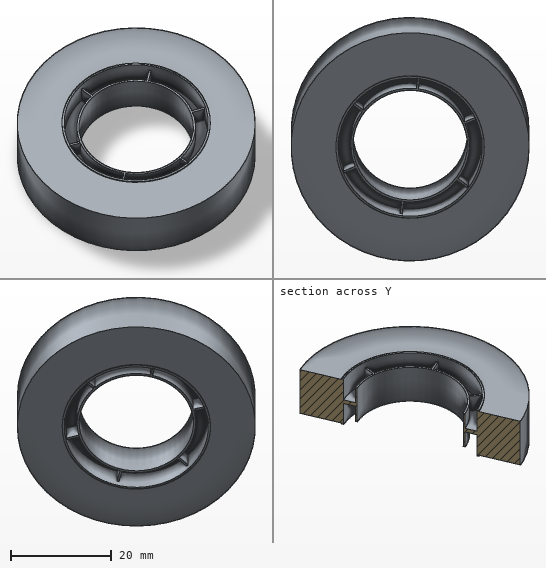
import cadquery as cq

tire_diameter = 47.25
tire_width = 10.73
rim_width = 11.15
rim_diameter = 29.45
hub_bore = 22.7
hub_width = 8.2

wall = 0.43
web_thickness = 1.0
spoke_count = 6
first_spoke_angle = 30.0

rim_inner_diameter = rim_diameter - 2 * wall
hub_diameter = hub_bore + 2 * wall


def ring(outer_diameter, inner_diameter, width):
    """Flat-faced ring centred on the mid-plane."""
    return (
        cq.Workplane("XY")
        .workplane(offset=-width / 2)
        .circle(outer_diameter / 2)
        .circle(inner_diameter / 2)
        .extrude(width)
    )


def spoke(angle):
    """Radial rib from mid-wall of the hub to mid-wall of the rim."""
    inner_radius = (hub_bore + wall) / 2
    outer_radius = (rim_diameter - wall) / 2
    return (
        cq.Workplane("XY")
        .box(outer_radius - inner_radius, wall, hub_width)
        .translate(((inner_radius + outer_radius) / 2, 0, 0))
        .rotate((0, 0, 0), (0, 0, 1), angle)
    )


tire = ring(tire_diameter, rim_inner_diameter, tire_width)
rim = ring(rim_diameter, rim_inner_diameter, rim_width)
web = ring(rim_diameter, hub_bore, web_thickness)
hub = ring(hub_diameter, hub_bore, hub_width)

result = tire.union(rim).union(web).union(hub)
for index in range(spoke_count):
    result = result.union(spoke(first_spoke_angle + index * 360 / spoke_count))